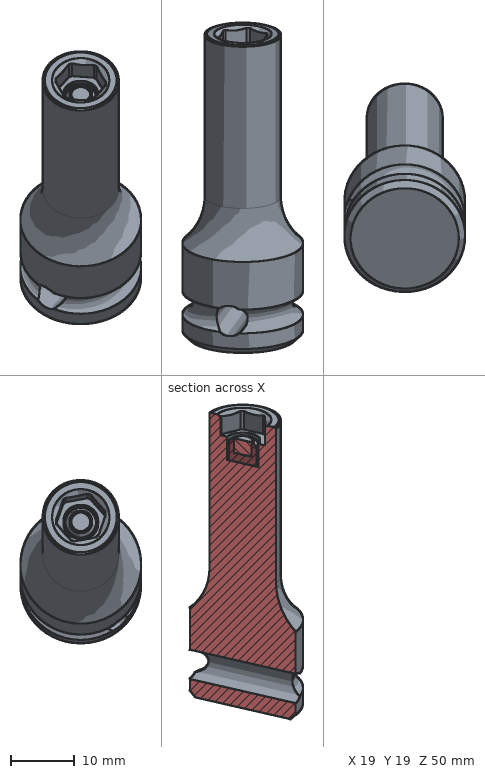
import cadquery as cq
import math

total_height = 50.0
base_radius = 9.5
neck_radius = 6.0
shoulder_height = 15.4
neck_start_height = 23.1
base_chamfer = 1.0
rim_chamfer_width = 0.35
rim_chamfer_height = 0.15

groove_height = 5.55
groove_arc_radius = 2.0
groove_centre_radius = 9.9
cross_hole_diameter = 5.0

hex_across_flats = 7.1
hex_corner_radius = 3.95
hex_depth = 3.5
hex_floor = total_height - hex_depth
lead_in_radius = 4.5
lead_in_angle = 30.0

sleeve_radius = 2.75
sleeve_drop = 0.7
holder_radius = 2.4
holder_depth = 4.0
holder_chamfer = 0.6
magnet_radius = 1.5
magnet_depth = 2.5


def upright_cylinder(radius, bottom, top):
    return cq.Workplane("XY").workplane(offset=bottom).circle(radius).extrude(top - bottom)


def make_outer_form():
    """Turned body: chamfered base, concave flare and slim neck."""
    flare_width = base_radius - neck_radius
    flare_height = neck_start_height - shoulder_height
    flare_arc_radius = (flare_width**2 + flare_height**2) / (2 * flare_width)
    half_angle = math.asin(flare_height / flare_arc_radius) / 2
    flare_middle = (
        neck_radius + flare_arc_radius * (1 - math.cos(half_angle)),
        neck_start_height - flare_arc_radius * math.sin(half_angle),
    )
    return (
        cq.Workplane("XZ")
        .moveTo(0, 0)
        .lineTo(base_radius - base_chamfer, 0)
        .lineTo(base_radius, base_chamfer)
        .lineTo(base_radius, shoulder_height)
        .threePointArc(flare_middle, (neck_radius, neck_start_height))
        .lineTo(neck_radius, total_height - rim_chamfer_height)
        .lineTo(neck_radius - rim_chamfer_width, total_height)
        .lineTo(0, total_height)
        .close()
        .revolve(360, (0, 0, 0), (0, 1, 0))
    )


def make_groove():
    return cq.Workplane(cq.Solid.makeTorus(
        groove_centre_radius, groove_arc_radius, cq.Vector(0, 0, groove_height)))


def make_cross_hole():
    """Cutter for the hole that crosses the base along Y."""
    return (
        cq.Workplane("XZ")
        .center(0, groove_height)
        .circle(cross_hole_diameter / 2)
        .extrude(base_radius, both=True)
    )


def make_hex_recess():
    """Cutter for the hexagon, with corners pointing along Y."""
    across_corners = hex_across_flats / math.cos(math.radians(30))
    hexagon = (
        cq.Workplane("XY")
        .workplane(offset=hex_floor)
        .transformed(rotate=(0, 0, 90))
        .polygon(6, across_corners)
        .extrude(hex_depth)
    )
    return hexagon.intersect(upright_cylinder(hex_corner_radius, hex_floor, total_height))


def make_lead_in():
    """Cutter for the conical mouth of the hexagonal recess."""
    cone_height = lead_in_radius * math.tan(math.radians(lead_in_angle))
    base = cq.Vector(0, 0, total_height - cone_height)
    return cq.Workplane(cq.Solid.makeCone(0, lead_in_radius, cone_height, base))


def make_sleeve_hole():
    """Cutter for the blind hole that takes the sleeve, holder and magnet."""
    return upright_cylinder(sleeve_radius, hex_floor - holder_depth, hex_floor)


def make_socket():
    return (
        make_outer_form()
        .cut(make_groove())
        .cut(make_cross_hole())
        .cut(make_hex_recess())
        .cut(make_lead_in())
        .cut(make_sleeve_hole())
    )


def make_sleeve():
    """Thin sleeve around the holder, its top wall rounded over towards the inside."""
    bottom = hex_floor - holder_depth
    top = hex_floor - sleeve_drop
    round_radius = sleeve_radius - holder_radius
    arc_offset = round_radius * math.sqrt(0.5)
    arc_middle = (sleeve_radius - arc_offset, top - round_radius + arc_offset)
    return (
        cq.Workplane("XZ")
        .moveTo(holder_radius, bottom)
        .lineTo(sleeve_radius, bottom)
        .lineTo(sleeve_radius, top)
        .threePointArc(arc_middle, (holder_radius, top - round_radius))
        .close()
        .revolve(360, (0, 0, 0), (0, 1, 0))
    )


def make_magnet():
    return upright_cylinder(magnet_radius, hex_floor - magnet_depth, hex_floor)


def make_holder():
    """Chamfered cup whose pocket fits the magnet."""
    blank = upright_cylinder(holder_radius, hex_floor - holder_depth, hex_floor)
    return blank.faces(">Z").edges().chamfer(holder_chamfer).cut(make_magnet())


socket = make_socket()
sleeve = make_sleeve()
holder = make_holder()
magnet = make_magnet()

result = cq.Compound.makeCompound([socket.val(), sleeve.val(), holder.val(), magnet.val()])